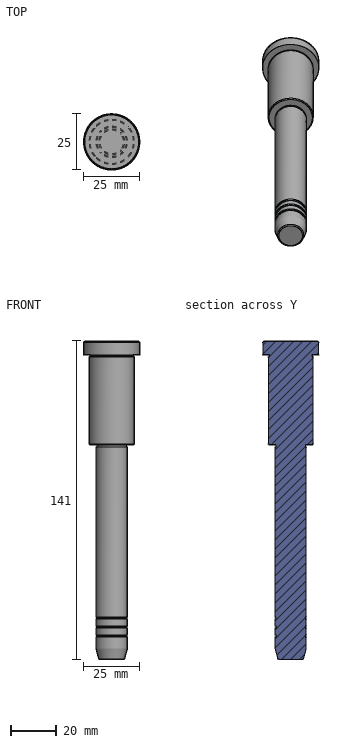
import cadquery as cq
import math

total_length = 141.0
head_diameter = 25.0
head_height = 6.0
body_diameter = 20.0
body_bottom_depth = 46.0
shank_diameter = 14.0

edge_chamfer = 0.4
head_chamfer = 0.5
undercut_width = 1.0
undercut_depth = 0.4

groove_count = 3
groove_pitch = 4.0
groove_width = 1.0
lowest_groove_bottom = 10.0

tip_length = 5.0
tip_angle = 15.0

head_bottom = total_length - head_height
body_bottom = total_length - body_bottom_depth
tip_diameter = shank_diameter - 2 * tip_length * math.tan(math.radians(tip_angle))


def cylinder(diameter, bottom, top):
    """Solid cylinder on the Z axis between two heights."""
    return cq.Workplane("XY").workplane(offset=bottom).circle(diameter / 2).extrude(top - bottom)


def ring_groove(diameter, depth, bottom, width):
    """Ring that cuts a square groove into a cylinder of the given diameter."""
    outer = cylinder(diameter, bottom, bottom + width)
    core = cylinder(diameter - 2 * depth, bottom, bottom + width)
    return outer.cut(core)


def vee_groove(diameter, bottom, width):
    """Ring that cuts a 90 degree V groove into a cylinder of the given diameter."""
    radius = diameter / 2
    profile = [
        (radius, bottom),
        (radius - width / 2, bottom + width / 2),
        (radius, bottom + width),
    ]
    return cq.Workplane("XZ").polyline(profile).close().revolve(360, (0, 0), (0, 1))


def make_head():
    return cylinder(head_diameter, head_bottom, total_length).faces(">Z").edges().chamfer(head_chamfer)


def make_body():
    """Body with both ends chamfered, joined to the head by a narrower neck."""
    shoulder = head_bottom - undercut_width + undercut_depth
    neck = cylinder(body_diameter - 2 * undercut_depth, shoulder, head_bottom)
    body = cylinder(body_diameter, body_bottom, shoulder)
    return body.faces("<Z or >Z").edges().chamfer(edge_chamfer).union(neck)


def make_shank():
    shank = cylinder(shank_diameter, tip_length, body_bottom)
    undercut_bottom = body_bottom - undercut_width
    shank = shank.cut(ring_groove(shank_diameter, undercut_depth, undercut_bottom, undercut_width))
    for index in range(groove_count):
        groove_bottom = lowest_groove_bottom + index * groove_pitch
        shank = shank.cut(vee_groove(shank_diameter, groove_bottom, groove_width))
    return shank


def make_tip():
    tip = (
        cq.Workplane("XY")
        .circle(tip_diameter / 2)
        .workplane(offset=tip_length)
        .circle(shank_diameter / 2)
        .loft(ruled=True)
    )
    return tip.faces("<Z").edges().chamfer(edge_chamfer)


result = make_head().union(make_body()).union(make_shank()).union(make_tip())